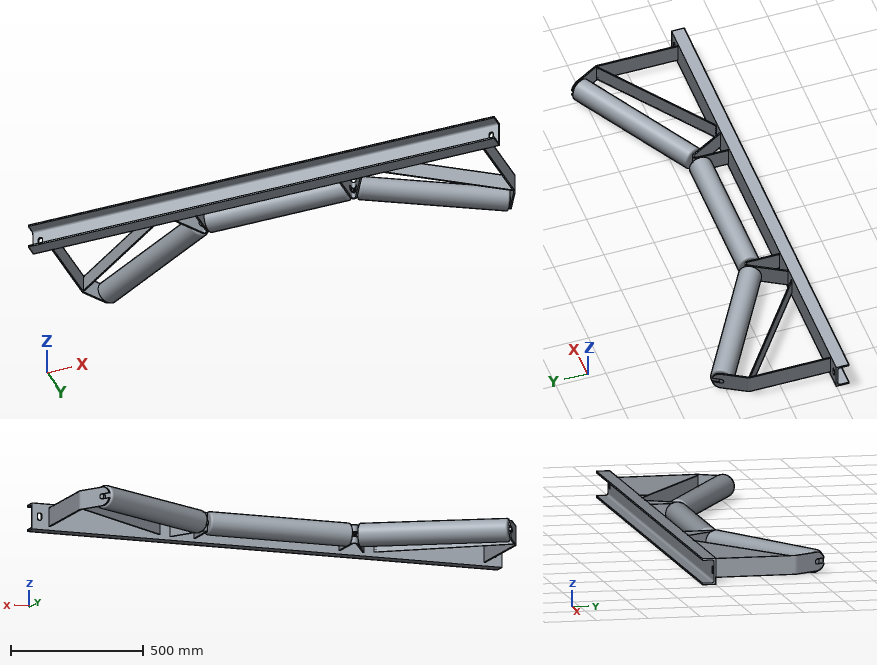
import cadquery as cq
import math


base_length = 1900.0
base_height = 51.0
base_width = 100.0
base_wall = 6.6
base_inner_radius = 10.0
slot_length = 28.0
slot_width = 17.0
slot_offset = 920.0

roller_length = 572.0
roller_diameter = 90.0
roller_edge_radius = 8.0
shaft_diameter = 19.0
trough_angle = 30.0
level_axis_height = 167.0

strip_wall = 5.0
strip_width = 72.0
roller_gap = 4.8
axis_to_fold = 50.0
fold_radius = 13.0
bend_radius = 23.0
outer_leg_offset = 880.0

brace_wall = 4.8
brace_width = 63.0
brace_foot_offset = 437.0

support_span = roller_length + 2 * roller_gap + strip_wall
trough = math.radians(trough_angle)
sin_trough = math.sin(trough)
cos_trough = math.cos(trough)

fold = (support_span / 2, level_axis_height + axis_to_fold)
side_inner_seat = (fold[0] + axis_to_fold * sin_trough, fold[1] - axis_to_fold * cos_trough)
side_outer_seat = (side_inner_seat[0] + support_span * cos_trough,
                   side_inner_seat[1] + support_span * sin_trough)
bend = (outer_leg_offset,
        side_outer_seat[1] - (outer_leg_offset - side_outer_seat[0]) / math.tan(trough))
side_center = ((side_inner_seat[0] + side_outer_seat[0]) / 2,
               (side_inner_seat[1] + side_outer_seat[1]) / 2)


def make_base():
    """Channel with its web on top, flanges downwards in Y, and a mounting slot near each end."""
    channel = cq.Workplane("XY").box(base_length, base_height, base_width, centered=(True, False, True))
    hollow = (
        cq.Workplane("XY")
        .box(base_length, base_height - base_wall, base_width - 2 * base_wall, centered=(True, False, True))
        .edges("|X and >Y")
        .fillet(base_inner_radius)
    )
    slots = (
        cq.Workplane("XZ")
        .pushPoints([(-slot_offset, 0), (slot_offset, 0)])
        .slot2D(slot_length, slot_width, 90)
        .extrude(-base_height)
    )
    return channel.cut(hollow).cut(slots)


def cross_prism(profile, length):
    """Extrude a profile drawn in the YZ plane to a length centred on X = 0."""
    return profile.extrude(length).translate((-length / 2, 0, 0))


def flat_prism(outline, width):
    """Extrude a closed outline in the XY plane to a width centred on Z = 0."""
    return cq.Workplane("XY").polyline(outline).close().extrude(width).translate((0, 0, -width / 2))


def tilt(body, angle, place):
    """Turn a body about Z and move its origin to a place in the Z = 0 plane."""
    return body.rotate((0, 0, 0), (0, 0, 1), angle).translate((*place, 0))


def make_roller(center, angle):
    """Roller with rounded rims and a shaft that ends flush with the outer faces of its two strips."""
    shell = cross_prism(cq.Workplane("YZ").circle(roller_diameter / 2), roller_length)
    shell = shell.edges("%CIRCLE").fillet(roller_edge_radius)
    shaft = cross_prism(cq.Workplane("YZ").circle(shaft_diameter / 2), support_span + strip_wall)
    return tilt(shell.union(shaft), angle, center)


def cut_seat(bracket, seat, angle):
    """Cut an open shaft slot: round at the seat, running away from the base along the tilted strip."""
    slot_depth = 2 * strip_width
    opening = cross_prism(cq.Workplane("YZ").rect(slot_depth, shaft_diameter), 2 * strip_wall)
    opening = opening.translate((0, slot_depth / 2, 0))
    bottom = cross_prism(cq.Workplane("YZ").circle(shaft_diameter / 2), 2 * strip_wall)
    return bracket.cut(tilt(opening.union(bottom), angle, seat))


def unit(start, end):
    """Unit direction from start to end in the XY plane."""
    length = math.dist(start, end)
    return (end[0] - start[0]) / length, (end[1] - start[1]) / length


def bent_strip(start, corner, end, outer_radius):
    """Strip centred on Z = 0 that runs from start to end with one rounded bend at corner."""
    half_wall = strip_wall / 2
    first = unit(start, corner)
    second = unit(corner, end)
    first_normal = (-first[1], first[0])
    second_normal = (-second[1], second[0])
    mitre_scale = half_wall / (1 + first[0] * second[0] + first[1] * second[1])
    mitre = (
        (first_normal[0] + second_normal[0]) * mitre_scale,
        (first_normal[1] + second_normal[1]) * mitre_scale,
    )

    def side(sign):
        return [
            (start[0] + sign * half_wall * first_normal[0], start[1] + sign * half_wall * first_normal[1]),
            (corner[0] + sign * mitre[0], corner[1] + sign * mitre[1]),
            (end[0] + sign * half_wall * second_normal[0], end[1] + sign * half_wall * second_normal[1]),
        ]

    left = side(1)
    right = side(-1)
    turns_left = first[0] * second[1] - first[1] * second[0] > 0
    inner_corner, outer_corner = (left[1], right[1]) if turns_left else (right[1], left[1])
    strip = flat_prism(left + right[::-1], strip_width)
    strip = strip.edges(cq.NearestToPointSelector((*outer_corner, 0))).fillet(outer_radius)
    return strip.edges(cq.NearestToPointSelector((*inner_corner, 0))).fillet(outer_radius - strip_wall)


def make_inner_bracket():
    """Folded strip with a vertical leg for the level roller and a sloping leg for a side roller."""
    leg_foot = (fold[0], base_height)
    buried_depth = 2 * strip_wall
    buried_y = base_height - buried_depth
    buried_end = (fold[0] + (fold[1] - buried_y) * math.tan(trough), buried_y)
    bracket = bent_strip(leg_foot, fold, buried_end, fold_radius)
    bracket = bracket.cut(
        cq.Workplane("XY").box(base_length, base_height, base_width, centered=(True, False, True))
    )
    bracket = cut_seat(bracket, (fold[0], level_axis_height), 0)
    return cut_seat(bracket, side_inner_seat, trough_angle)


def make_outer_bracket():
    """Upright strip whose tilted top ends in a round head with an open shaft slot."""
    bracket = bent_strip((bend[0], base_height), bend, side_outer_seat, bend_radius)
    head = cross_prism(cq.Workplane("YZ").circle(strip_width / 2), strip_wall)
    bracket = bracket.union(tilt(head, trough_angle, side_outer_seat))
    return cut_seat(bracket, side_outer_seat, trough_angle)


def make_brace(bracket):
    """Diagonal flat bar from the web up to the bend of an outer bracket, trimmed to that bracket."""
    slope = math.atan2(bend[1] - base_height, bend[0] - brace_foot_offset)
    half_foot = brace_wall / math.sin(slope) / 2
    half_top = brace_wall / math.cos(slope) / 2
    outline = [
        (brace_foot_offset - half_foot, base_height),
        (bend[0], bend[1] + half_top),
        (bend[0], bend[1] - half_top),
        (brace_foot_offset + half_foot, base_height),
    ]
    return flat_prism(outline, brace_width).cut(bracket)


base = make_base()
level_roller = make_roller((0, level_axis_height), 0)
side_roller = make_roller(side_center, trough_angle)
inner_bracket = make_inner_bracket()
outer_bracket = make_outer_bracket()
brace = make_brace(outer_bracket)

bodies = [base.solids().val(), level_roller.solids().val()]
for paired_body in (side_roller, inner_bracket, outer_bracket, brace):
    right_body = paired_body.solids().val()
    bodies.append(right_body)
    bodies.append(right_body.mirror("YZ"))

result = cq.Compound.makeCompound(bodies)